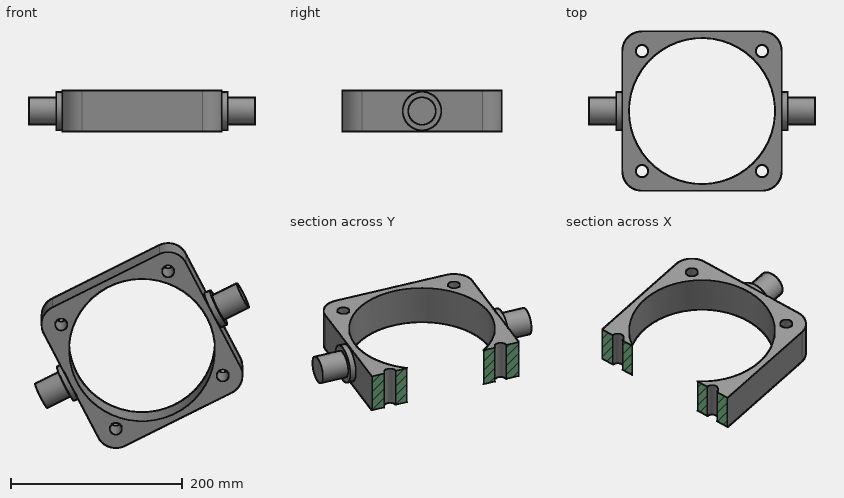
import cadquery as cq

body_width = 186.0
body_height = 48.0
bore_diameter = 170.0

hole_spacing = 140.0
hole_diameter = 14.0
corner_radius = (body_width - hole_spacing) / 2

overall_length = 264.0
pin_diameter = 32.0
collar_diameter = 45.0
collar_thickness = 7.0


def make_body():
    """Rounded square block with its large bore and four bolt holes."""
    block = cq.Workplane("XY").box(body_width, body_width, body_height)
    block = block.edges("|Z").fillet(corner_radius)
    block = block.faces(">Z").workplane().hole(bore_diameter)
    block = block.faces(">Z").workplane().rect(hole_spacing, hole_spacing, forConstruction=True)
    return block.vertices().hole(hole_diameter)


def make_trunnion(side):
    """Collar and pin standing out along X; side is -1 or +1."""
    pin_reach = (overall_length - body_width) / 2
    face = cq.Workplane("YZ", origin=(side * body_width / 2, 0, 0))
    collar = face.circle(collar_diameter / 2).extrude(side * collar_thickness)
    pin = face.circle(pin_diameter / 2).extrude(side * pin_reach)
    return collar.union(pin)


result = make_body()
for side in (-1, 1):
    result = result.union(make_trunnion(side))